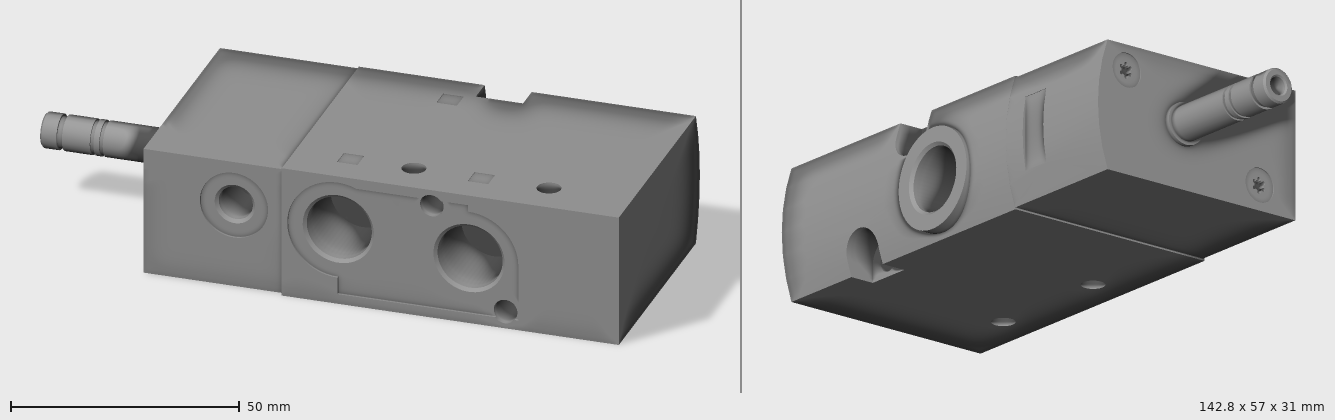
import cadquery as cq
import math


BODY_LENGTH = 77.7
BODY_HEIGHT = 31.0
FRONT_Y = -32.0
BACK_CORNER_Y = 21.3
BACK_APEX_Y = 24.0

HEAD_LENGTH = 32.0
HEAD_INSET = 0.4

PORT_DIAMETER = 15.0
PORT_DEPTH = 17.1
PORT_CHAMFER = 0.7
EXHAUST_PORT = (12.9, 2.4)
SUPPLY_PORT = (43.0, 0.0)
OUTLET_PORT = (24.1, -2.4)
PILOT_PORT = (-11.1, 4.5)
PILOT_PORT_DIAMETER = 7.9
PILOT_PORT_DEPTH = 12.9
PILOT_PAD_DIAMETER = 15.7

PAD_RADIUS = 11.5
PAD_HALF_HEIGHT = 13.1
PAD_DEPTH = 0.5
BOSS_DIAMETER = 23.5
BOSS_FACE_Y = 25.0

MOUNT_DIAMETER = 5.4
CROSS_HOLES_X = (34.4, 51.4)
CROSS_HOLE_Z = 11.5
HEAD_SLOT_WIDTH = 10.9
HEAD_SLOT_FLOOR_Y = 15.3
VERTICAL_HOLES_X = (27.4, 58.5)
VERTICAL_HOLES_Y = -22.8

LABEL_SIDE = 4.7
LABEL_DEPTH = 0.1
BACK_LABEL_Y = 12.0

BACK_SLOT_X = -9.4
BACK_SLOT_WIDTH = 7.1
BACK_SLOT_HEIGHT = 17.1
BACK_SLOT_DEPTH = 1.0

STEM_LENGTH = 33.1
STEM_DIAMETER = 8.1
STEM_CHAMFER = 0.4
COLLAR_DIAMETER = 9.9
COLLAR_LENGTH = 1.1
STEM_GROOVES = ((3.9, 1.3, 7.1), (11.5, 0.9, 7.4), (13.7, 0.9, 7.4))
STEM_BORE_DIAMETER = 4.1
STEM_BORE_DEPTH = 5.7
STEM_BORE_MOUTH = 4.9
STEM_PILOT_DIAMETER = 2.4
STEM_PILOT_DEPTH = 2.9
DRILL_POINT_ANGLE = 118.0

SCREW_CENTRES = ((15.9, 9.1), (-21.5, -9.1))
SCREW_HEAD_DIAMETER = 8.0
SCREW_HEAD_HEIGHT = 3.1
SCREW_SINK = 0.3
SCREW_SHANK_DIAMETER = 4.0
SCREW_GRIP = 8.0
SOCKET_DIAMETER = 3.9
SOCKET_LOBE_DIAMETER = 0.9
SOCKET_DEPTH = 1.7
SOCKET_LOBES = 6

HALF_HEIGHT = BODY_HEIGHT / 2
HEAD_END_X = -HEAD_LENGTH


def crowned_block(x_start, length, inset):
    """Block along X with a crowned back face; inset lowers the top, bottom and front faces."""
    top = HALF_HEIGHT - inset
    front = FRONT_Y + inset
    return (
        cq.Workplane("YZ", origin=(x_start, 0, 0))
        .moveTo(front, -top)
        .lineTo(BACK_CORNER_Y, -top)
        .threePointArc((BACK_APEX_Y, 0), (BACK_CORNER_Y, top))
        .lineTo(front, top)
        .close()
        .extrude(length)
    )


def rod(axis, start, diameter, length):
    """Cylinder that begins at start and runs along axis."""
    return cq.Workplane(
        cq.Solid.makeCylinder(diameter / 2, length, cq.Vector(*start), cq.Vector(*axis))
    )


def port_cutter(centre, mouth_y, inward, diameter, depth, chamfer):
    """Blind round port with a chamfered mouth; inward is +1 or -1 along Y."""
    x, z = centre
    axis = (0, inward, 0)
    mouth = cq.Solid.makeCone(
        diameter / 2 + chamfer, diameter / 2, chamfer, cq.Vector(x, mouth_y, z), cq.Vector(*axis)
    )
    return rod(axis, (x, mouth_y, z), diameter, depth).union(cq.Workplane(mouth))


def front_pad_cutter():
    """Shallow recess that wraps both front ports."""
    left_x, left_z = EXHAUST_PORT
    right_x, right_z = SUPPLY_PORT
    rise = PAD_HALF_HEIGHT - left_z
    meet_x = left_x + math.sqrt(PAD_RADIUS**2 - rise**2)
    diagonal = PAD_RADIUS / math.sqrt(2)
    return (
        cq.Workplane("XZ", origin=(0, FRONT_Y, 0))
        .moveTo(left_x, -PAD_HALF_HEIGHT)
        .lineTo(right_x + PAD_RADIUS, -PAD_HALF_HEIGHT)
        .lineTo(right_x + PAD_RADIUS, right_z)
        .threePointArc((right_x + diagonal, right_z + diagonal), (right_x, right_z + PAD_RADIUS))
        .lineTo(right_x, PAD_HALF_HEIGHT)
        .lineTo(meet_x, PAD_HALF_HEIGHT)
        .threePointArc((left_x - PAD_RADIUS, left_z), (left_x, left_z - PAD_RADIUS))
        .close()
        .extrude(-PAD_DEPTH)
    )


def cross_hole_cutter(x, side):
    """Hole along Y whose head slot opens through the top (side +1) or bottom (side -1)."""
    z = side * CROSS_HOLE_Z
    depth = BACK_APEX_Y - HEAD_SLOT_FLOOR_Y
    hole = rod((0, 1, 0), (x, FRONT_Y, z), MOUNT_DIAMETER, BACK_APEX_Y - FRONT_Y)
    seat = rod((0, 1, 0), (x, HEAD_SLOT_FLOOR_Y, z), HEAD_SLOT_WIDTH, depth)
    opening = cq.Workplane("XY").box(HEAD_SLOT_WIDTH, depth, HEAD_SLOT_WIDTH).translate(
        (x, HEAD_SLOT_FLOOR_Y + depth / 2, z + side * HEAD_SLOT_WIDTH / 2)
    )
    return hole.union(seat).union(opening)


def label_cutter(x, y):
    """Square label recess in the top face."""
    return (
        cq.Workplane("XY", origin=(x, y, HALF_HEIGHT))
        .rect(LABEL_SIDE, LABEL_SIDE)
        .extrude(-LABEL_DEPTH)
    )


def make_valve_body():
    body = crowned_block(0, BODY_LENGTH, 0)

    boss_x, boss_z = OUTLET_PORT
    boss_root = (boss_x, HEAD_SLOT_FLOOR_Y, boss_z)
    body = body.union(rod((0, 1, 0), boss_root, BOSS_DIAMETER, BOSS_FACE_Y - HEAD_SLOT_FLOOR_Y))

    pad_y = FRONT_Y + PAD_DEPTH
    body = body.cut(front_pad_cutter())
    for centre in (EXHAUST_PORT, SUPPLY_PORT):
        body = body.cut(port_cutter(centre, pad_y, 1, PORT_DIAMETER, PORT_DEPTH, PORT_CHAMFER))
    body = body.cut(
        port_cutter(OUTLET_PORT, BOSS_FACE_Y, -1, PORT_DIAMETER, PORT_DEPTH, PORT_CHAMFER)
    )

    for x, side in zip(CROSS_HOLES_X, (1, -1)):
        body = body.cut(cross_hole_cutter(x, side))
    for x in VERTICAL_HOLES_X:
        base = (x, VERTICAL_HOLES_Y, -HALF_HEIGHT)
        body = body.cut(rod((0, 0, 1), base, MOUNT_DIAMETER, BODY_HEIGHT))

    body = body.cut(label_cutter(EXHAUST_PORT[0], VERTICAL_HOLES_Y))
    body = body.cut(label_cutter(SUPPLY_PORT[0], VERTICAL_HOLES_Y))
    body = body.cut(label_cutter(OUTLET_PORT[0], BACK_LABEL_Y))

    for y, z in SCREW_CENTRES:
        body = body.cut(rod((1, 0, 0), (0, y, z), SCREW_SHANK_DIAMETER, SCREW_GRIP))
    return body


def make_stem():
    """Grooved stem with collar and a drilled tip, standing on the end of the pilot head."""
    tip_x = HEAD_END_X - STEM_LENGTH
    stem = rod((1, 0, 0), (tip_x, 0, 0), STEM_DIAMETER, STEM_LENGTH).faces("<X").chamfer(STEM_CHAMFER)
    collar_x = HEAD_END_X - COLLAR_LENGTH
    stem = stem.union(rod((1, 0, 0), (collar_x, 0, 0), COLLAR_DIAMETER, COLLAR_LENGTH))

    for offset, width, floor_diameter in STEM_GROOVES:
        ring = (
            cq.Workplane("YZ", origin=(tip_x + offset, 0, 0))
            .circle(STEM_DIAMETER)
            .circle(floor_diameter / 2)
            .extrude(width)
        )
        stem = stem.cut(ring)

    bore_radius = STEM_BORE_DIAMETER / 2
    mouth_radius = STEM_BORE_MOUTH / 2
    bore_end = tip_x + STEM_BORE_DEPTH
    pilot_radius = STEM_PILOT_DIAMETER / 2
    taper = math.tan(math.radians(DRILL_POINT_ANGLE / 2))
    pilot_start = bore_end + (bore_radius - pilot_radius) / taper
    pilot_end = pilot_start + STEM_PILOT_DEPTH
    bore = (
        cq.Workplane("XY")
        .moveTo(tip_x, 0)
        .lineTo(tip_x, mouth_radius)
        .lineTo(tip_x + mouth_radius - bore_radius, bore_radius)
        .lineTo(bore_end, bore_radius)
        .lineTo(pilot_start, pilot_radius)
        .lineTo(pilot_end, pilot_radius)
        .lineTo(pilot_end + pilot_radius / taper, 0)
        .close()
        .revolve(360, (0, 0, 0), (1, 0, 0))
    )
    return stem.cut(bore)


def make_pilot_head():
    head = crowned_block(HEAD_END_X, HEAD_LENGTH, HEAD_INSET).union(make_stem())

    port_x, port_z = PILOT_PORT
    face_y = FRONT_Y + HEAD_INSET
    pad_y = face_y + PAD_DEPTH
    head = head.cut(rod((0, 1, 0), (port_x, face_y, port_z), PILOT_PAD_DIAMETER, PAD_DEPTH))
    head = head.cut(
        port_cutter(PILOT_PORT, pad_y, 1, PILOT_PORT_DIAMETER, PILOT_PORT_DEPTH, PORT_CHAMFER)
    )

    slot = cq.Workplane("XY").box(BACK_SLOT_WIDTH, 2 * BACK_SLOT_DEPTH, BACK_SLOT_HEIGHT)
    head = head.cut(slot.translate((BACK_SLOT_X, BACK_APEX_Y, 0)))

    for y, z in SCREW_CENTRES:
        start = (HEAD_END_X, y, z)
        head = head.cut(rod((1, 0, 0), start, SCREW_HEAD_DIAMETER, SCREW_SINK + SCREW_HEAD_HEIGHT))
        head = head.cut(rod((1, 0, 0), start, SCREW_SHANK_DIAMETER, HEAD_LENGTH))
    return head


def make_screw(y, z):
    """Flat-headed screw along X with a six-lobed socket."""
    head_x = HEAD_END_X + SCREW_SINK
    start = (head_x, y, z)
    screw = rod((1, 0, 0), start, SCREW_HEAD_DIAMETER, SCREW_HEAD_HEIGHT)
    screw = screw.union(rod((1, 0, 0), start, SCREW_SHANK_DIAMETER, SCREW_GRIP - head_x))

    lobe_reach = (SOCKET_DIAMETER - SOCKET_LOBE_DIAMETER) / 2
    socket = rod((1, 0, 0), start, 2 * lobe_reach - SOCKET_LOBE_DIAMETER / 2, SOCKET_DEPTH)
    for lobe in range(SOCKET_LOBES):
        angle = math.pi / 2 + lobe * 2 * math.pi / SOCKET_LOBES
        lobe_start = (head_x, y + lobe_reach * math.cos(angle), z + lobe_reach * math.sin(angle))
        socket = socket.union(rod((1, 0, 0), lobe_start, SOCKET_LOBE_DIAMETER, SOCKET_DEPTH))
    return screw.cut(socket)


valve_body = make_valve_body()
pilot_head = make_pilot_head()
screws = [make_screw(y, z) for y, z in SCREW_CENTRES]

result = cq.Compound.makeCompound(
    [valve_body.val(), pilot_head.val(), *[screw.val() for screw in screws]]
)